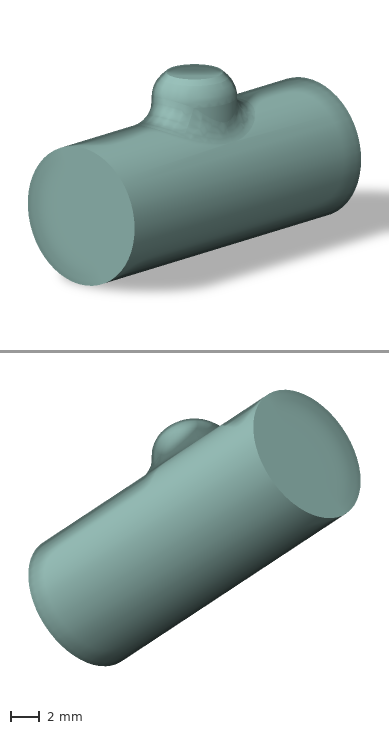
import cadquery as cq
import math

bar_length = 24.0
bar_diameter = 10.0
bar_radius = bar_diameter / 2

stub_radius = 3.0
stub_top = 8.0
tip_radius = 2.0
cone_depth = 0.35
cone_base_radius = 2.4
shoulder_radius = 2.0

blend_radius = 2.0


def make_bar():
    return cq.Workplane("XZ").circle(bar_radius).extrude(bar_length / 2, both=True)


def make_stub():
    """Revolve the half profile of the stub about Z, starting on the bar axis."""
    cone_base_z = stub_top - cone_depth
    arc_center_r = stub_radius - shoulder_radius
    arc_end_angle = math.acos((cone_base_radius - arc_center_r) / shoulder_radius)
    arc_center_z = cone_base_z - shoulder_radius * math.sin(arc_end_angle)
    arc_middle = (
        arc_center_r + shoulder_radius * math.cos(arc_end_angle / 2),
        arc_center_z + shoulder_radius * math.sin(arc_end_angle / 2),
    )
    return (
        cq.Workplane("XZ")
        .lineTo(stub_radius, 0)
        .lineTo(stub_radius, arc_center_z)
        .threePointArc(arc_middle, (cone_base_radius, cone_base_z))
        .lineTo(tip_radius, stub_top)
        .lineTo(0, stub_top)
        .close()
        .revolve(360, (0, 0), (0, 1))
    )


def blend_stub_to_bar(body):
    """Fillet the closed curve where the stub meets the bar."""
    margin = 0.25
    reach = stub_radius + margin
    joint_box = cq.selectors.BoxSelector((-reach, -reach, 0), (reach, reach, bar_radius + margin))
    return body.edges(joint_box).edges("not %LINE").fillet(blend_radius)


result = blend_stub_to_bar(make_bar().union(make_stub()))